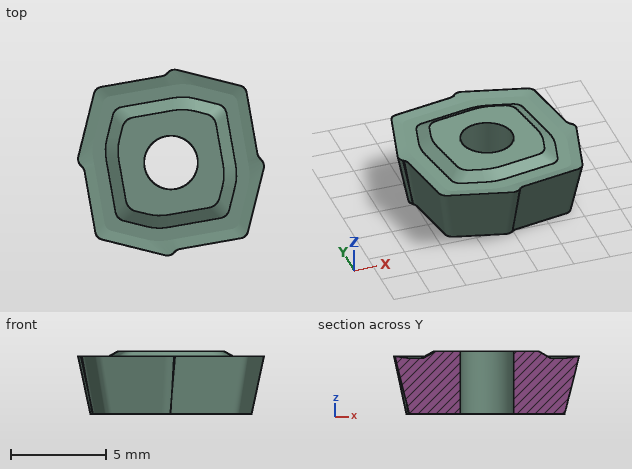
import cadquery as cq
import math

RIM_HEIGHT = 3.03
GROOVE_FLOOR = 2.925
TOTAL_HEIGHT = 3.3
HOLE_DIAMETER = 2.8

MAIN_ANGLE = -14
STEP_ANGLE = 45
WIPER_ANGLE = 10
QUARTER_TURN = 90

OVERALL_SIZE = 9.75
EDGE_RADIUS = 0.49
NOSE_OFFSET = 0.195
RIM_WIPER = 4.54
CLEARANCE_ANGLE = 11
STEP_RELIEF = 0.58

FLOOR_MAIN = 4.22
FLOOR_WIPER = 3.98
BOSS_GAP = 0.66
BOSS_SLOPE_WIDTH = 0.64
BEND_RADIUS = 2.73
FLOOR_CORNER_RADIUS = 0.49
BOSS_BASE_CORNER_RADIUS = 0.585
BOSS_TOP_CORNER_RADIUS = 0.68
SEAM_SEGMENT = 0.195

nose_reach = OVERALL_SIZE / 2 - EDGE_RADIUS
RIM_MAIN = (
    EDGE_RADIUS
    + nose_reach * math.cos(math.radians(MAIN_ANGLE))
    - NOSE_OFFSET * math.sin(math.radians(MAIN_ANGLE))
)
RIM_STEP = EDGE_RADIUS + (nose_reach - NOSE_OFFSET) * math.sin(math.radians(STEP_ANGLE))
FLANK_RELIEF = RIM_HEIGHT * math.tan(math.radians(CLEARANCE_ANGLE))


def normal(angle):
    """Unit vector at an angle measured from -Y toward +X."""
    return cq.Vector(math.sin(math.radians(angle)), -math.cos(math.radians(angle)))


def blend_arc(first, second, radius, z):
    """Start, middle and end of an arc tangent to two (angle, distance) lines.

    A negative radius puts the arc centre outside, for a concave blend.
    """
    n1, n2 = normal(first[0]), normal(second[0])
    d1, d2 = first[1] - radius, second[1] - radius
    cross = n1.x * n2.y - n1.y * n2.x
    center = cq.Vector((d1 * n2.y - d2 * n1.y) / cross, (d2 * n1.x - d1 * n2.x) / cross, z)
    angles = (first[0], (first[0] + second[0]) / 2, second[0])
    return [center + normal(angle) * radius for angle in angles]


def join_arcs(arcs):
    """Closed wire of three-point arcs joined by straight lines."""
    edges = []
    for index, arc in enumerate(arcs):
        edges.append(cq.Edge.makeThreePointArc(*arc))
        edges.append(cq.Edge.makeLine(arc[2], arcs[(index + 1) % len(arcs)][0]))
    return cq.Wire.assembleEdges(edges)


def stepped_outline(main, step, wiper, z):
    """Outline with a nose, a step and a rounded corner in each quadrant."""
    arcs = []
    for turn in range(0, 360, QUARTER_TURN):
        main_line = (turn + MAIN_ANGLE, main)
        step_line = (turn + STEP_ANGLE, step)
        wiper_line = (turn + WIPER_ANGLE, wiper)
        next_main = (turn + QUARTER_TURN + MAIN_ANGLE, main)
        arcs.append(blend_arc(main_line, step_line, EDGE_RADIUS, z))
        arcs.append(blend_arc(step_line, wiper_line, -EDGE_RADIUS, z))
        arcs.append(blend_arc(wiper_line, next_main, EDGE_RADIUS, z))
    return join_arcs(arcs)


def smooth_outline(main, wiper, corner_radius, z, split=False):
    """Outline with a gentle bend and a rounded corner in each quadrant.

    Splitting the wiper side gives it as many edges as the stepped outline.
    """
    edges = []
    for turn in range(0, 360, QUARTER_TURN):
        main_line = (turn + MAIN_ANGLE, main)
        wiper_line = (turn + WIPER_ANGLE, wiper)
        next_main = (turn + QUARTER_TURN + MAIN_ANGLE, main)
        next_wiper = (turn + QUARTER_TURN + WIPER_ANGLE, wiper)
        bend = blend_arc(main_line, wiper_line, BEND_RADIUS, z)
        corner = blend_arc(wiper_line, next_main, corner_radius, z)
        next_bend = blend_arc(next_main, next_wiper, BEND_RADIUS, z)
        side = [bend[2], corner[0]]
        if split:
            along = (corner[0] - bend[2]).normalized() * SEAM_SEGMENT
            side[1:1] = [bend[2] + along, bend[2] + along * 2]
        edges.append(cq.Edge.makeThreePointArc(*bend))
        edges += [cq.Edge.makeLine(start, end) for start, end in zip(side, side[1:])]
        edges.append(cq.Edge.makeThreePointArc(*corner))
        edges.append(cq.Edge.makeLine(corner[2], next_bend[0]))
    return cq.Wire.assembleEdges(edges)


def ruled_solid(lower, upper):
    return cq.Workplane(obj=cq.Solid.makeLoft([lower, upper], True))


seat = stepped_outline(
    RIM_MAIN - FLANK_RELIEF, RIM_STEP - STEP_RELIEF, RIM_WIPER - FLANK_RELIEF, 0
)
rim = stepped_outline(RIM_MAIN, RIM_STEP, RIM_WIPER, RIM_HEIGHT)
body = ruled_solid(seat, rim)

floor = smooth_outline(FLOOR_MAIN, FLOOR_WIPER, FLOOR_CORNER_RADIUS, GROOVE_FLOOR, split=True)
groove = ruled_solid(floor, rim)

boss_main = FLOOR_MAIN - BOSS_GAP
boss_wiper = FLOOR_WIPER - BOSS_GAP
boss_base = smooth_outline(boss_main, boss_wiper, BOSS_BASE_CORNER_RADIUS, GROOVE_FLOOR)
boss_top = smooth_outline(
    boss_main - BOSS_SLOPE_WIDTH,
    boss_wiper - BOSS_SLOPE_WIDTH,
    BOSS_TOP_CORNER_RADIUS,
    TOTAL_HEIGHT,
)
boss = ruled_solid(boss_base, boss_top)

hole = cq.Workplane().circle(HOLE_DIAMETER / 2).extrude(TOTAL_HEIGHT)

result = body.cut(groove).union(boss).cut(hole)